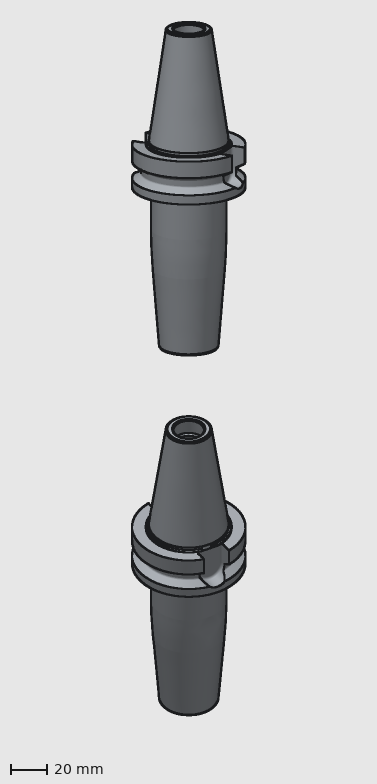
import cadquery as cq
import math


gauge_radius = 44.45 / 2
taper_length = 65.4
taper_radial_slope = 7 / 48
taper_tip_chamfer = 0.8
taper_tip_radius = gauge_radius - taper_radial_slope * taper_length

undercut_radius = 44.0 / 2
undercut_run_in = 0.7
recess_radius = 47.8 / 2
recess_depth = 0.5
recess_ramp_length = 0.6
undercut_fillet = 0.7

flange_radius = 63.0 / 2
flange_top = -2.0
flange_bottom = -27.0
groove_floor_radius = 53.0 / 2
groove_center = -16.6
groove_mouth_width = 10.0
groove_flank_angle = 30.0
groove_corner_radius = 0.9
groove_flank_height = (flange_radius - groove_floor_radius) * math.tan(math.radians(groove_flank_angle))
groove_top = groove_center + groove_mouth_width / 2
groove_bottom = groove_center - groove_mouth_width / 2
groove_floor_width = groove_mouth_width - 2 * groove_flank_height

slot_width = 16.1
slot_floor_distance = 22.6
slot_bottom = -23.2
slot_floor_fillet = 1.6

nose_radius = 42.0 / 2
nose_root_fillet = 1.0
nose_tip_radius = 33.0 / 2
nose_bottom = -120.0
nose_half_angle = math.radians(4.5)
nose_blend_bottom = -74.4
nose_tip_chamfer_width = 0.7
nose_tip_chamfer_height = 1.0

mouth_radius = 18.4 / 2
pilot_radius = 17.0 / 2
pilot_depth = 9.0
thread_hole_radius = 14.0 / 2
thread_hole_depth = 40.0
drill_tip_angle = 120.0
drill_tip_slope = 1 / math.tan(math.radians(drill_tip_angle / 2))


def make_body():
    """Revolved outer shape: taper, undercut, grooved flange and nose."""
    tip_chamfer_side_radius = taper_tip_radius + taper_radial_slope * taper_tip_chamfer

    blend_end_radius = nose_tip_radius + (nose_blend_bottom - nose_bottom) * math.tan(nose_half_angle)
    blend_radius = (nose_radius - blend_end_radius) / (1 - math.cos(nose_half_angle))
    blend_top = nose_blend_bottom + blend_radius * math.sin(nose_half_angle)
    blend_mid_radius = nose_radius - blend_radius * (1 - math.cos(nose_half_angle / 2))
    blend_mid_height = blend_top - blend_radius * math.sin(nose_half_angle / 2)

    recess_floor = flange_top - recess_depth
    fillet_mid = 1 - math.sqrt(0.5)
    chamfer_top = nose_bottom + nose_tip_chamfer_height
    chamfer_top_radius = nose_tip_radius + nose_tip_chamfer_height * math.tan(nose_half_angle)

    profile = (
        cq.Workplane("XZ")
        .moveTo(0, taper_length)
        .lineTo(taper_tip_radius - taper_tip_chamfer, taper_length)
        .lineTo(tip_chamfer_side_radius, taper_length - taper_tip_chamfer)
        .lineTo(gauge_radius, 0)
        .lineTo(undercut_radius, -undercut_run_in)
        .lineTo(undercut_radius, recess_floor + undercut_fillet)
        .threePointArc(
            (undercut_radius + undercut_fillet * fillet_mid, recess_floor + undercut_fillet * fillet_mid),
            (undercut_radius + undercut_fillet, recess_floor),
        )
        .lineTo(recess_radius - recess_ramp_length, recess_floor)
        .lineTo(recess_radius, flange_top)
        .lineTo(flange_radius, flange_top)
        .lineTo(flange_radius, groove_top)
        .lineTo(groove_floor_radius, groove_top - groove_flank_height)
        .lineTo(groove_floor_radius, groove_bottom + groove_flank_height)
        .lineTo(flange_radius, groove_bottom)
        .lineTo(flange_radius, flange_bottom)
        .lineTo(nose_radius + nose_root_fillet, flange_bottom)
        .threePointArc(
            (nose_radius + nose_root_fillet * fillet_mid, flange_bottom - nose_root_fillet * fillet_mid),
            (nose_radius, flange_bottom - nose_root_fillet),
        )
        .lineTo(nose_radius, blend_top)
        .threePointArc((blend_mid_radius, blend_mid_height), (blend_end_radius, nose_blend_bottom))
        .lineTo(chamfer_top_radius, chamfer_top)
        .lineTo(nose_tip_radius - nose_tip_chamfer_width, nose_bottom)
        .lineTo(0, nose_bottom)
        .close()
    )
    body = profile.revolve(360, (0, 0, 0), (0, 1, 0))
    groove_floor_edges = cq.selectors.BoxSelector(
        (-flange_radius, -flange_radius, groove_center - groove_floor_width),
        (flange_radius, flange_radius, groove_center + groove_floor_width),
        boundingbox=True,
    )
    return body.edges("%CIRCLE").edges(groove_floor_edges).fillet(groove_corner_radius)


def make_slot_cutter():
    """Round-ended drive slot on the +X side, filleted along its floor and open at the top."""
    half_width = slot_width / 2
    arc_center = slot_bottom + half_width
    cutter = (
        cq.Workplane("YZ", origin=(slot_floor_distance, 0, 0))
        .moveTo(-half_width, taper_length)
        .lineTo(-half_width, arc_center)
        .threePointArc((0, slot_bottom), (half_width, arc_center))
        .lineTo(half_width, taper_length)
        .close()
        .extrude(flange_radius)
    )
    return cutter.faces("<X").edges("not >Z").fillet(slot_floor_fillet)


def make_bore():
    """Chamfered pilot, conical seat and thread hole, both cones at the drill tip angle."""
    mouth_chamfer = mouth_radius - pilot_radius
    pilot_bottom = taper_length - pilot_depth
    seat_bottom = pilot_bottom - (pilot_radius - thread_hole_radius) * drill_tip_slope
    hole_bottom = taper_length - thread_hole_depth
    return (
        cq.Workplane("XZ")
        .moveTo(0, taper_length)
        .lineTo(mouth_radius, taper_length)
        .lineTo(pilot_radius, taper_length - mouth_chamfer)
        .lineTo(pilot_radius, pilot_bottom)
        .lineTo(thread_hole_radius, seat_bottom)
        .lineTo(thread_hole_radius, hole_bottom)
        .lineTo(0, hole_bottom - thread_hole_radius * drill_tip_slope)
        .close()
        .revolve(360, (0, 0, 0), (0, 1, 0))
    )


result = make_body().cut(make_bore())
for slot_angle in (0, 180):
    result = result.cut(make_slot_cutter().rotate((0, 0, 0), (0, 0, 1), slot_angle))